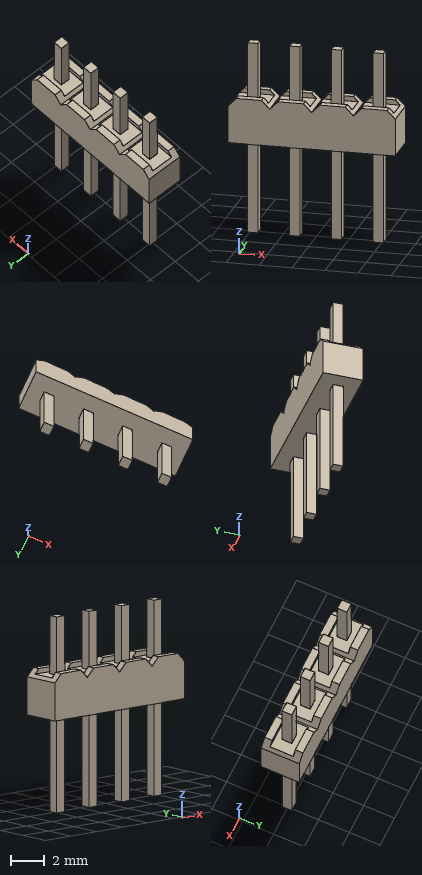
import cadquery as cq

pin_count = 4
pitch = 2.54
body_depth = 2.5
body_height = 2.8
corner_chamfer = 0.5

groove_width = 1.5
groove_depth = 0.3

pin_side = 0.635
pin_above_body = 3.2
pin_below_body = 5.8

body_length = pin_count * pitch
pin_length = pin_below_body + body_height + pin_above_body
pin_positions = [(i - (pin_count - 1) / 2) * pitch for i in range(pin_count)]


def make_cell(x_center):
    """One pitch of the body, with both upper corners cut at 45 degrees."""
    half_pitch = pitch / 2
    half_top = half_pitch - corner_chamfer
    shoulder = body_height - corner_chamfer
    return (
        cq.Workplane("XZ", origin=(x_center, 0, 0))
        .moveTo(-half_pitch, 0)
        .lineTo(half_pitch, 0)
        .lineTo(half_pitch, shoulder)
        .lineTo(half_top, body_height)
        .lineTo(-half_top, body_height)
        .lineTo(-half_pitch, shoulder)
        .close()
        .extrude(body_depth / 2, both=True)
    )


def make_groove():
    """Shallow channel running the full length of the body top."""
    return (
        cq.Workplane("XY", origin=(0, 0, body_height - groove_depth))
        .rect(body_length, groove_width)
        .extrude(groove_depth)
    )


def make_pin(x_center):
    """Square pin passing right through the body."""
    return (
        cq.Workplane("XY", origin=(x_center, 0, -pin_below_body))
        .rect(pin_side, pin_side)
        .extrude(pin_length)
    )


body = make_cell(pin_positions[0])
for x in pin_positions[1:]:
    body = body.union(make_cell(x))
body = body.cut(make_groove())

result = body
for x in pin_positions:
    result = result.union(make_pin(x))
result = result.clean()